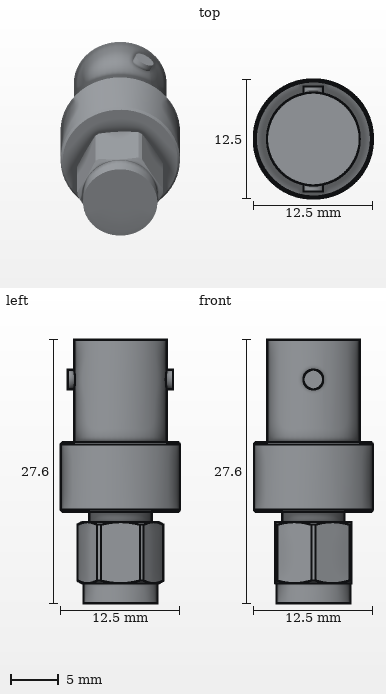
import cadquery as cq

total_height = 27.6
nut_bottom = 2.07
nut_top = 8.53
collar_bottom = 9.58
collar_top = 16.85

tip_diameter = 7.78
neck_diameter = 6.57
collar_diameter = 12.5
barrel_diameter = 9.72
collar_chamfer = 0.22

nut_across_flats = 8.0
nut_corner_diameter = 9.0
nut_end_diameter = 7.9
nut_chamfer_height = 0.3

pin_diameter = 2.07
pin_span = 11.05
pin_height = 23.43


def cylinder(diameter, bottom, top):
    """Solid cylinder on the Z axis between two heights."""
    return cq.Workplane("XY").workplane(offset=bottom).circle(diameter / 2).extrude(top - bottom)


def make_nut():
    """Hexagon whose corners are turned down and chamfered at both ends."""
    hexagon = (
        cq.Workplane("XY")
        .workplane(offset=nut_bottom)
        .polygon(6, nut_across_flats, circumscribed=True)
        .extrude(nut_top - nut_bottom)
    )
    corner_radius = nut_corner_diameter / 2
    end_radius = nut_end_diameter / 2
    turned_envelope = (
        cq.Workplane("XZ")
        .moveTo(0, nut_bottom)
        .lineTo(end_radius, nut_bottom)
        .lineTo(corner_radius, nut_bottom + nut_chamfer_height)
        .lineTo(corner_radius, nut_top - nut_chamfer_height)
        .lineTo(end_radius, nut_top)
        .lineTo(0, nut_top)
        .close()
        .revolve(360, (0, 0, 0), (0, 1, 0))
    )
    return hexagon.intersect(turned_envelope)


def make_pins():
    """One cross pin along Y, showing as a stub on each side of the barrel."""
    return (
        cq.Workplane("XZ")
        .center(0, pin_height)
        .circle(pin_diameter / 2)
        .extrude(pin_span / 2, both=True)
    )


tip = cylinder(tip_diameter, 0, nut_bottom)
neck = cylinder(neck_diameter, nut_top, collar_bottom)
collar = cylinder(collar_diameter, collar_bottom, collar_top).edges().chamfer(collar_chamfer)
barrel = cylinder(barrel_diameter, collar_top, total_height)

result = tip.union(make_nut()).union(neck).union(collar).union(barrel).union(make_pins())